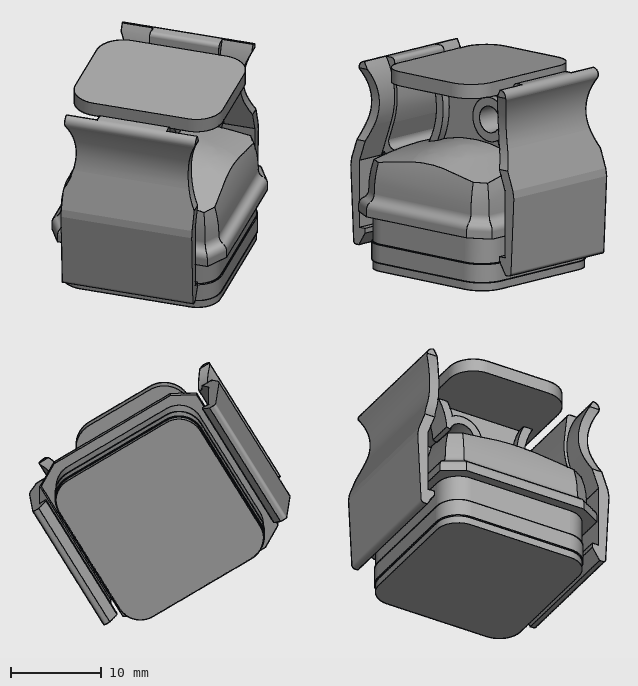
import cadquery as cq
import math

BODY_X = 18.1
BODY_Y = 18.1
BODY_RADIUS = 2.7
BAND_BOTTOM = 0.9
BAND_TOP = 3.1
BAND_PROUD = 0.12
BAND_CHAMFER = 0.09

FLANGE_BOTTOM = 6.2
FLANGE_EDGE_TOP = 7.0
FLANGE_HALF_X = 10.1
FLANGE_HALF_Y = 10.0
CORNER_FLAT_START_Y = 7.5
CORNER_FLAT_ANGLE = 30
FLARE_ANGLE = 60
FLARE_CONVEX_RADIUS = 0.9
FLARE_CONCAVE_RADIUS = 1.05
HOOD_SIDE_RADIUS = 12.0
HOOD_PROFILE_TOP = 15.0

ROOF_TRIM_BOTTOM = 10.0
ROOF_HALF_X = 9.2
ROOF_HALF_Y = 10.0
ROOF_RIDGE_Z = 14.5
ROOF_RIDGE_CROWN_HALF = 4.1
ROOF_RIDGE_CROWN_Z = 14.0
ROOF_RIDGE_EAVES_Z = 12.57
ROOF_END_Z = 12.75
ROOF_END_CROWN_HALF = 1.95
ROOF_END_CROWN_Z = 12.71
ROOF_END_EAVES_Z = 11.65

TOTAL_HEIGHT = 22.9
PAD_X = 17.05
PAD_Y = 13.9
PAD_THICKNESS = 1.6
PAD_RADIUS = 3.05
POST_THICKNESS = 3.0
WEB_THICKNESS = 1.0
RIM_WIDTH = 1.0
POST_HALF_NECK = 4.95
POST_NECK_Z = 17.45
POST_SIDE_RADIUS = 7.55
POST_BOTTOM = 12.0
HOLE_Y = 3.0
HOLE_Z = 17.4
HOLE_RADIUS = 1.5
MOUTH_CORNERS = [(0, -0.37), (3.0, -1.88), (3.0, 0.94), (1.0, 0.09)]

CLIP_WIDTH = 15.1
ARM_THICKNESS = 1.17
ARM_NECK_Y = 10.08
ARM_NECK_Z = 18.5
ARM_NECK_RADIUS = 7.1
ARM_TOP_ROUND_START = -22
ARM_LEAN = 20
ARM_TOP_RADIUS = 0.8
BEND_TOP_Z = 11.75
BEND_BOTTOM_Z = 10.9
CLIP_HALF_SPAN = 12.215
ARM_BOTTOM_OUTER_Y = 11.79
ARM_BOTTOM_Z = 2.05
ARM_BOTTOM_RADIUS = 0.4
ARM_INNER_Y = 10.88
HOOK_TIP_Y = 10.08
HOOK_TOP_Z = 4.05
HOOK_FLAT_Z = 3.5
HOOK_BOTTOM_Y = 11.0
WAIST_HALF_WIDTH = 6.47
WAIST_Z = 18.0
WAIST_RADIUS = 8.26

RIB_WIDTH = 8.0
RIB_DEPTH = 0.38
RIB_TOP_Y = 8.9
RIB_TOP_RADIUS = 0.5
RIB_STRAIGHT_END_Z = 19.5
HINGE_TOP_Z = 13.5
HINGE_UPPER_MIDDLE = (9.6, 12.8)
HINGE_UPPER_END = (9.0, 12.5)
HINGE_LOWER_START = (10.5, 12.05)
HINGE_LOWER_MIDDLE = (9.8, 11.6)
HINGE_LOWER_END = (8.8, 11.25)
HINGE_ROOT_Y = 8.0


def rounded_block(size_x, size_y, radius, bottom, top):
    block = cq.Workplane("XY").workplane(offset=bottom).rect(size_x, size_y).extrude(top - bottom)
    return block.edges("|Z").fillet(radius)


def both_y_sides(shape):
    return shape.union(shape.mirror("XZ"))


def body():
    block = rounded_block(BODY_X, BODY_Y, BODY_RADIUS, 0, FLANGE_EDGE_TOP)
    band = rounded_block(
        BODY_X + 2 * BAND_PROUD, BODY_Y + 2 * BAND_PROUD, BODY_RADIUS + BAND_PROUD, BAND_BOTTOM, BAND_TOP
    )
    band = band.faces("<Z or >Z").chamfer(BAND_CHAMFER)
    return block.union(band)


def hood_slab(half_size, normal_angle):
    """Prism with the flange-and-hood profile on two opposite sides."""
    flare = math.radians(FLARE_ANGLE)

    def arc_inset(radius, angle):
        return radius * (1 - math.cos(angle))

    def convex(angle):
        return (
            half_size - arc_inset(FLARE_CONVEX_RADIUS, angle),
            FLANGE_EDGE_TOP + FLARE_CONVEX_RADIUS * math.sin(angle),
        )

    join_x, join_z = convex(flare)
    hood_x = join_x - arc_inset(FLARE_CONCAVE_RADIUS, flare)
    hood_z = join_z + FLARE_CONCAVE_RADIUS * math.sin(flare)

    def concave(angle):
        return (
            hood_x + arc_inset(FLARE_CONCAVE_RADIUS, angle),
            hood_z - FLARE_CONCAVE_RADIUS * math.sin(angle),
        )

    def hood_side(z):
        return (hood_x - HOOD_SIDE_RADIUS + math.sqrt(HOOD_SIDE_RADIUS**2 - (z - hood_z) ** 2), z)

    half = (
        cq.Workplane("XZ")
        .moveTo(0, FLANGE_BOTTOM)
        .lineTo(half_size, FLANGE_BOTTOM)
        .lineTo(half_size, FLANGE_EDGE_TOP)
        .threePointArc(convex(flare / 2), (join_x, join_z))
        .threePointArc(concave(flare / 2), (hood_x, hood_z))
        .threePointArc(hood_side((hood_z + HOOD_PROFILE_TOP) / 2), hood_side(HOOD_PROFILE_TOP))
        .lineTo(0, HOOD_PROFILE_TOP)
        .close()
        .extrude(2 * FLANGE_HALF_X, both=True)
    )
    return half.union(half.mirror("YZ")).rotate((0, 0, 0), (0, 0, 1), normal_angle)


def roof_block():
    sections = [
        (-ROOF_HALF_X, ROOF_END_Z, ROOF_END_CROWN_HALF, ROOF_END_CROWN_Z, ROOF_END_EAVES_Z),
        (0, ROOF_RIDGE_Z, ROOF_RIDGE_CROWN_HALF, ROOF_RIDGE_CROWN_Z, ROOF_RIDGE_EAVES_Z),
        (ROOF_HALF_X, ROOF_END_Z, ROOF_END_CROWN_HALF, ROOF_END_CROWN_Z, ROOF_END_EAVES_Z),
    ]
    wires = []
    for x, top_z, crown_half, crown_z, eaves_z in sections:
        section = (
            cq.Workplane("YZ", origin=(x, 0, 0))
            .moveTo(-ROOF_HALF_Y, FLANGE_BOTTOM)
            .lineTo(-ROOF_HALF_Y, eaves_z)
            .lineTo(-crown_half, crown_z)
            .threePointArc((0, top_z), (crown_half, crown_z))
            .lineTo(ROOF_HALF_Y, eaves_z)
            .lineTo(ROOF_HALF_Y, FLANGE_BOTTOM)
            .close()
        )
        wires.append(section.wires().val())
    return cq.Workplane(cq.Solid.makeLoft(wires))


def hood():
    corner_angle = math.radians(CORNER_FLAT_ANGLE)
    corner_half = FLANGE_HALF_X * math.cos(corner_angle) + CORNER_FLAT_START_Y * math.sin(corner_angle)
    shape = hood_slab(FLANGE_HALF_X, 0).intersect(hood_slab(FLANGE_HALF_Y, 90))
    for angle in (CORNER_FLAT_ANGLE, -CORNER_FLAT_ANGLE):
        shape = shape.intersect(hood_slab(corner_half, angle))
    above_roof = (
        cq.Workplane("XY")
        .workplane(offset=ROOF_TRIM_BOTTOM)
        .rect(2 * ROOF_HALF_X, 2 * ROOF_HALF_Y)
        .extrude(HOOD_PROFILE_TOP - ROOF_TRIM_BOTTOM)
        .cut(roof_block())
    )
    return shape.cut(above_roof)


def waisted_prism(inset, thickness):
    """Post outline with hollow sides, drawn in by `inset`, centred on X."""
    pad_bottom = TOTAL_HEIGHT - PAD_THICKNESS
    radius = POST_SIDE_RADIUS + inset
    centre_y = POST_HALF_NECK + POST_SIDE_RADIUS

    def side(z):
        return centre_y - math.sqrt(radius**2 - (z - POST_NECK_Z) ** 2)

    neck = centre_y - radius
    return (
        cq.Workplane("YZ")
        .moveTo(-side(POST_BOTTOM), POST_BOTTOM)
        .lineTo(side(POST_BOTTOM), POST_BOTTOM)
        .threePointArc((neck, POST_NECK_Z), (side(pad_bottom), pad_bottom))
        .lineTo(-side(pad_bottom), pad_bottom)
        .threePointArc((-neck, POST_NECK_Z), (-side(POST_BOTTOM), POST_BOTTOM))
        .close()
        .extrude(thickness / 2, both=True)
    )


def hole_cylinder(radius):
    return cq.Workplane("YZ").center(HOLE_Y, HOLE_Z).circle(radius).extrude(POST_THICKNESS / 2, both=True)


def post():
    outline = waisted_prism(0, POST_THICKNESS)
    ring = hole_cylinder(HOLE_RADIUS + RIM_WIDTH).intersect(outline)
    rim = outline.cut(waisted_prism(RIM_WIDTH, POST_THICKNESS)).union(ring)
    web = waisted_prism(0, WEB_THICKNESS)
    mouth = (
        cq.Workplane("YZ")
        .center(HOLE_Y, HOLE_Z)
        .polyline(MOUTH_CORNERS)
        .close()
        .extrude(POST_THICKNESS / 2, both=True)
    )
    return rim.union(web).cut(hole_cylinder(HOLE_RADIUS)).cut(mouth)


def pad():
    return rounded_block(PAD_X, PAD_Y, PAD_RADIUS, TOTAL_HEIGHT - PAD_THICKNESS, TOTAL_HEIGHT)


def neck_point(depth, angle):
    """Point on the neck arc `depth` inside the arm's outer face, `angle` below the neck."""
    radius = ARM_NECK_RADIUS + depth
    centre_y = ARM_NECK_Y + ARM_NECK_RADIUS
    return (
        centre_y - radius * math.cos(math.radians(angle)),
        ARM_NECK_Z - radius * math.sin(math.radians(angle)),
    )


def neck_angle(depth, z):
    return math.degrees(math.asin((ARM_NECK_Z - z) / (ARM_NECK_RADIUS + depth)))


def lean_point_at_z(depth, z):
    """Point on the straight leaning stretch below the neck."""
    start_y, start_z = neck_point(depth, ARM_LEAN)
    return (start_y + (start_z - z) * math.tan(math.radians(ARM_LEAN)), z)


def lean_point_at_y(depth, y):
    start_y, start_z = neck_point(depth, ARM_LEAN)
    return (y, start_z - (y - start_y) / math.tan(math.radians(ARM_LEAN)))


def arm():
    inner_top = neck_point(ARM_THICKNESS, neck_angle(ARM_THICKNESS, TOTAL_HEIGHT))

    def top_round(angle):
        return (
            inner_top[0] + ARM_TOP_RADIUS * math.cos(math.radians(angle)),
            TOTAL_HEIGHT - ARM_TOP_RADIUS + ARM_TOP_RADIUS * math.sin(math.radians(angle)),
        )

    profile = (
        cq.Workplane("YZ")
        .moveTo(ARM_INNER_Y, HOOK_TOP_Z)
        .lineTo(HOOK_TIP_Y, HOOK_TOP_Z)
        .lineTo(HOOK_TIP_Y, HOOK_FLAT_Z)
        .lineTo(HOOK_BOTTOM_Y, ARM_BOTTOM_Z)
        .lineTo(ARM_BOTTOM_OUTER_Y - ARM_BOTTOM_RADIUS, ARM_BOTTOM_Z)
        .radiusArc((ARM_BOTTOM_OUTER_Y, ARM_BOTTOM_Z + ARM_BOTTOM_RADIUS), -ARM_BOTTOM_RADIUS)
        .lineTo(CLIP_HALF_SPAN, BEND_BOTTOM_Z)
        .lineTo(*lean_point_at_z(0, BEND_TOP_Z))
        .lineTo(*neck_point(0, ARM_LEAN))
        .threePointArc(neck_point(0, 0), top_round(ARM_TOP_ROUND_START))
        .threePointArc(top_round((ARM_TOP_ROUND_START + 90) / 2), inner_top)
        .threePointArc(neck_point(ARM_THICKNESS, 0), neck_point(ARM_THICKNESS, ARM_LEAN))
        .lineTo(*lean_point_at_y(ARM_THICKNESS, ARM_INNER_Y))
        .close()
    )
    shape = profile.extrude(CLIP_WIDTH / 2, both=True)
    waist = (
        cq.Workplane("XZ")
        .center(-WAIST_HALF_WIDTH - WAIST_RADIUS, WAIST_Z)
        .circle(WAIST_RADIUS)
        .extrude(-CLIP_HALF_SPAN)
    )
    return shape.cut(waist).cut(waist.mirror("YZ"))


def rib():
    depth = ARM_THICKNESS + RIB_DEPTH
    inner_top = neck_point(ARM_THICKNESS, neck_angle(ARM_THICKNESS, TOTAL_HEIGHT))
    profile = (
        cq.Workplane("YZ")
        .moveTo(*inner_top)
        .lineTo(RIB_TOP_Y + RIB_TOP_RADIUS, TOTAL_HEIGHT)
        .radiusArc((RIB_TOP_Y, TOTAL_HEIGHT - RIB_TOP_RADIUS), -RIB_TOP_RADIUS)
        .lineTo(*neck_point(depth, neck_angle(depth, RIB_STRAIGHT_END_Z)))
        .threePointArc(neck_point(depth, 0), neck_point(depth, ARM_LEAN))
        .lineTo(*lean_point_at_z(depth, HINGE_TOP_Z))
        .threePointArc(HINGE_UPPER_MIDDLE, HINGE_UPPER_END)
        .lineTo(HINGE_ROOT_Y, HINGE_UPPER_END[1])
        .lineTo(HINGE_ROOT_Y, HINGE_LOWER_END[1])
        .lineTo(*HINGE_LOWER_END)
        .threePointArc(HINGE_LOWER_MIDDLE, HINGE_LOWER_START)
        .lineTo(*lean_point_at_y(ARM_THICKNESS, ARM_INNER_Y))
        .lineTo(*neck_point(ARM_THICKNESS, ARM_LEAN))
        .threePointArc(neck_point(ARM_THICKNESS, 0), inner_top)
        .close()
    )
    return profile.extrude(RIB_WIDTH / 2, both=True)


clips = both_y_sides(arm().union(rib()))
result = body().union(hood()).union(post()).union(pad()).union(clips)